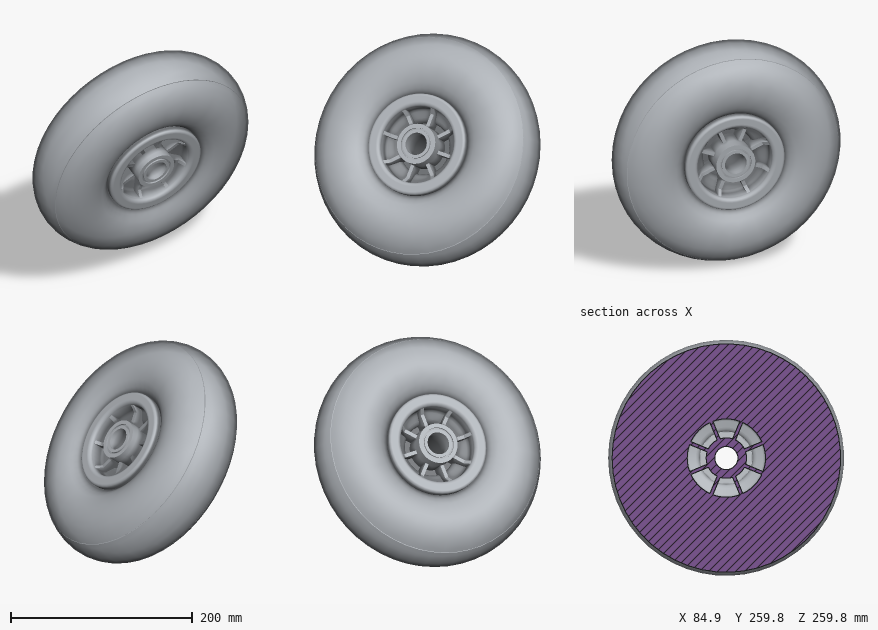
import cadquery as cq
import math


tyre_radius = 259.83 / 2
tyre_half_width = 84.91 / 2
tread_edge_radius = 244.6 / 2
tread_half_width = 25.0
widest_radius = 88.9
bead_half_width = 27.0
tread_groove_width = 0.6
tread_groove_depth = 0.5
shoulder_radius = 121.9

rim_radius = 114.0 / 2
rim_half_width = 36.0
rim_edge_fillet = 3.0
lip_fillet = 4.3

well_radius = 43.2
well_depth = 16.5
well_fillet = 4.0
cone_angle = math.radians(22.0)
cone_inner_radius = 33.4
web_fillet = 7.0
web_half_thickness = 5.0

hub_radius = 45.0 / 2
bore_radius = 25.0 / 2
groove_outer_radius = 36.0 / 2
groove_inner_radius = 32.0 / 2
groove_depth = 2.0

rib_count = 8
rib_thickness = 4.0
rib_depth = 12.5
rib_flat_radius = 37.5
rib_tip_depth = 5.0
rib_overlap = 1.0


def revolve_about_axle(profile):
    """Turn a closed (axial, radial) profile fully around the X axis."""
    return profile.close().revolve(360.0, (0, 0, 0), (1, 0, 0))


def make_tyre():
    """Tyre body with a fine groove along each edge of the tread."""
    groove_floor_radius = shoulder_radius - tread_groove_depth
    shoulder_half_width = tread_half_width + tread_groove_width
    profile = (
        cq.Workplane("XY")
        .moveTo(-bead_half_width, rim_radius)
        .threePointArc((-tyre_half_width, widest_radius), (-shoulder_half_width, shoulder_radius))
        .lineTo(-shoulder_half_width, groove_floor_radius)
        .lineTo(-tread_half_width, groove_floor_radius)
        .lineTo(-tread_half_width, tread_edge_radius)
        .threePointArc((0, tyre_radius), (tread_half_width, tread_edge_radius))
        .lineTo(tread_half_width, groove_floor_radius)
        .lineTo(shoulder_half_width, groove_floor_radius)
        .lineTo(shoulder_half_width, shoulder_radius)
        .threePointArc((tyre_half_width, widest_radius), (bead_half_width, rim_radius))
    )
    return revolve_about_axle(profile)


def make_rim_half():
    """Rim flange, dish, web and hub on the -X side, ending at X = 0."""
    fillet_axial = math.cos(cone_angle)
    fillet_radial = 1 - math.sin(cone_angle)

    well_bottom_x = -rim_half_width + well_depth
    cone_outer_x = well_bottom_x + well_fillet * fillet_axial
    cone_outer_radius = well_radius - well_fillet * fillet_radial
    cone_inner_x = cone_outer_x + (cone_outer_radius - cone_inner_radius) * math.tan(cone_angle)
    web_wall_x = cone_inner_x + web_fillet * fillet_axial
    web_wall_radius = cone_inner_radius - web_fillet * fillet_radial

    profile = (
        cq.Workplane("XY")
        .moveTo(0, rim_radius)
        .lineTo(-rim_half_width + rim_edge_fillet, rim_radius)
        .tangentArcPoint((-rim_half_width, rim_radius - rim_edge_fillet), relative=False)
        .lineTo(-rim_half_width, well_radius + lip_fillet)
        .tangentArcPoint((-rim_half_width + lip_fillet, well_radius), relative=False)
        .lineTo(well_bottom_x, well_radius)
        .tangentArcPoint((cone_outer_x, cone_outer_radius), relative=False)
        .lineTo(cone_inner_x, cone_inner_radius)
        .tangentArcPoint((web_wall_x, web_wall_radius), relative=False)
        .lineTo(-web_half_thickness, web_wall_radius)
        .lineTo(-web_half_thickness, hub_radius)
        .lineTo(-rim_half_width, hub_radius)
        .lineTo(-rim_half_width, groove_outer_radius)
        .lineTo(-rim_half_width + groove_depth, groove_outer_radius)
        .lineTo(-rim_half_width + groove_depth, groove_inner_radius)
        .lineTo(-rim_half_width, groove_inner_radius)
        .lineTo(-rim_half_width, bore_radius)
        .lineTo(0, bore_radius)
    )
    return revolve_about_axle(profile)


def make_rib():
    """One rib on the -X side in the +Y direction, sunk into the hub and the rim."""
    rib_top_x = -rim_half_width + rib_depth
    rib_tip_x = -rim_half_width + rib_tip_depth
    return (
        cq.Workplane("XY")
        .moveTo(0, hub_radius - rib_overlap)
        .lineTo(rib_top_x, hub_radius - rib_overlap)
        .lineTo(rib_top_x, rib_flat_radius)
        .lineTo(rib_tip_x, well_radius)
        .lineTo(rib_tip_x, well_radius + rib_overlap)
        .lineTo(0, well_radius + rib_overlap)
        .close()
        .extrude(rib_thickness / 2, both=True)
    )


def make_wheel_half():
    half = make_rim_half()
    rib = make_rib()
    rib_pitch = 360.0 / rib_count
    for index in range(rib_count):
        half = half.union(rib.rotate((0, 0, 0), (1, 0, 0), (index + 0.5) * rib_pitch))
    return half


wheel_half = make_wheel_half()
result = wheel_half.union(wheel_half.mirror("YZ")).union(make_tyre())